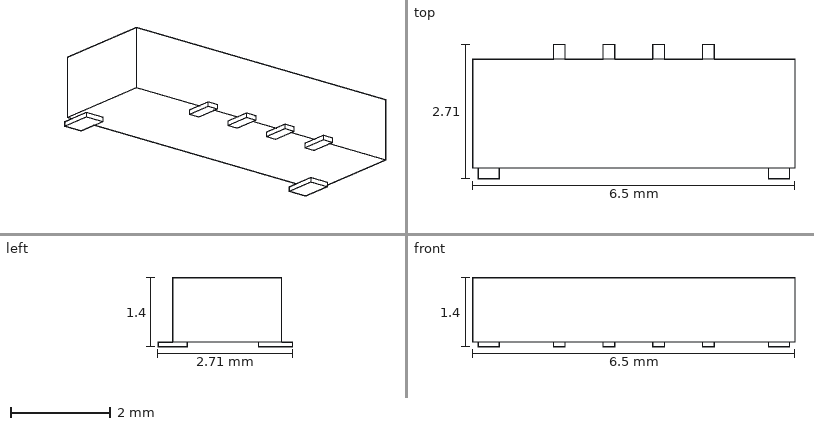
import cadquery as cq

HOUSING_LENGTH = 6.5
HOUSING_DEPTH = 2.2
HOUSING_HEIGHT = 1.3

CONTACT_THICKNESS = 0.1

SIGNAL_COUNT = 4
SIGNAL_PITCH = 1.0
SIGNAL_WIDTH = 0.24
SIGNAL_LENGTH = 0.59
SIGNAL_OVERHANG = 0.29

TAB_WIDTH = 0.43
TAB_LENGTH = 0.69
TAB_OVERHANG = 0.22
TAB_END_INSET = 0.11


def make_block(length, depth, height, center_x, center_y, bottom_z):
    """Rectangular block placed by its centre in X and Y and by its bottom face."""
    block = cq.Workplane("XY").box(length, depth, height, centered=(True, True, False))
    return block.translate((center_x, center_y, bottom_z))


def make_housing():
    return make_block(HOUSING_LENGTH, HOUSING_DEPTH, HOUSING_HEIGHT, 0, 0, CONTACT_THICKNESS)


def make_signal_contact(center_x):
    rear_end = HOUSING_DEPTH / 2 + SIGNAL_OVERHANG
    center_y = rear_end - SIGNAL_LENGTH / 2
    return make_block(SIGNAL_WIDTH, SIGNAL_LENGTH, CONTACT_THICKNESS, center_x, center_y, 0)


def make_mounting_tab(center_x):
    front_end = -HOUSING_DEPTH / 2 - TAB_OVERHANG
    center_y = front_end + TAB_LENGTH / 2
    return make_block(TAB_WIDTH, TAB_LENGTH, CONTACT_THICKNESS, center_x, center_y, 0)


housing = make_housing()

first_signal_x = -SIGNAL_PITCH * (SIGNAL_COUNT - 1) / 2
signal_contacts = [
    make_signal_contact(first_signal_x + index * SIGNAL_PITCH) for index in range(SIGNAL_COUNT)
]

tab_x = HOUSING_LENGTH / 2 - TAB_END_INSET - TAB_WIDTH / 2
mounting_tabs = [make_mounting_tab(side * tab_x) for side in (-1, 1)]

result = cq.Compound.makeCompound(
    [body.val() for body in [housing, *signal_contacts, *mounting_tabs]]
)